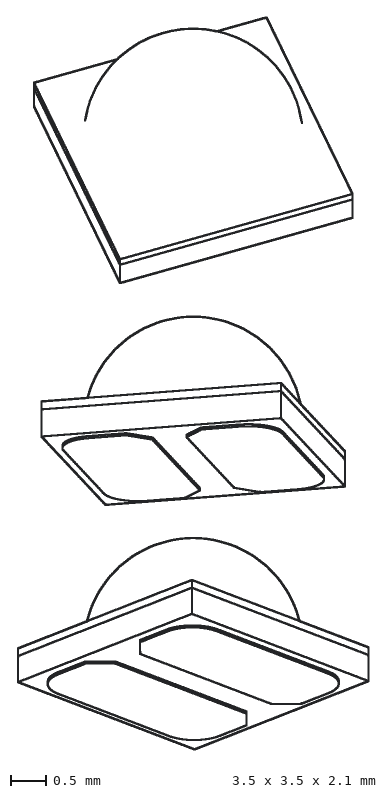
import cadquery as cq
import math

PACKAGE_SIDE = 3.5
PAD_THICKNESS = 0.03
SUBSTRATE_THICKNESS = 0.4
LENS_BASE_THICKNESS = 0.12
TOTAL_HEIGHT = 2.1

PAD_OUTER_EDGE = 1.6
PAD_INNER_EDGE = 0.25
PAD_CORNER_RADIUS = 0.5
PAD_INNER_CHAMFER = 0.3

LENS_FILLET_RADIUS = 0.1

substrate_bottom = PAD_THICKNESS
substrate_top = substrate_bottom + SUBSTRATE_THICKNESS
lens_base_top = substrate_top + LENS_BASE_THICKNESS
dome_radius = TOTAL_HEIGHT - lens_base_top


def make_plate(bottom, thickness):
    """Square layer covering the whole package footprint."""
    return (
        cq.Workplane("XY")
        .workplane(offset=bottom)
        .rect(PACKAGE_SIDE, PACKAGE_SIDE)
        .extrude(thickness)
    )


def make_pad(side):
    """Solder pad on the -X (side = -1) or +X (side = 1) half of the underside."""
    outer_face, inner_face = ("<X", ">X") if side < 0 else (">X", "<X")
    return (
        cq.Workplane("XY")
        .center(side * (PAD_OUTER_EDGE + PAD_INNER_EDGE) / 2, 0)
        .rect(PAD_OUTER_EDGE - PAD_INNER_EDGE, 2 * PAD_OUTER_EDGE)
        .extrude(PAD_THICKNESS)
        .faces(outer_face)
        .edges("|Z")
        .fillet(PAD_CORNER_RADIUS)
        .faces(inner_face)
        .edges("|Z")
        .chamfer(PAD_INNER_CHAMFER)
    )


def make_substrate():
    """Square substrate with its two solder pads underneath."""
    body = make_plate(substrate_bottom, SUBSTRATE_THICKNESS)
    for side in (-1, 1):
        body = body.union(make_pad(side))
    return body


def make_dome():
    """Hemisphere with a concave fillet running out onto the lens base."""
    centre_distance = dome_radius + LENS_FILLET_RADIUS
    foot_radius = math.sqrt(centre_distance**2 - LENS_FILLET_RADIUS**2)
    tangent_angle = math.asin(LENS_FILLET_RADIUS / centre_distance)

    def dome_point(angle):
        return (dome_radius * math.cos(angle), lens_base_top + dome_radius * math.sin(angle))

    fillet_mid_angle = (math.pi + tangent_angle + 3 * math.pi / 2) / 2
    fillet_mid = (
        foot_radius + LENS_FILLET_RADIUS * math.cos(fillet_mid_angle),
        lens_base_top + LENS_FILLET_RADIUS * (1 + math.sin(fillet_mid_angle)),
    )
    dome_mid_angle = (tangent_angle + math.pi / 2) / 2

    return (
        cq.Workplane("XZ")
        .moveTo(0, lens_base_top)
        .lineTo(foot_radius, lens_base_top)
        .threePointArc(fillet_mid, dome_point(tangent_angle))
        .threePointArc(dome_point(dome_mid_angle), (0, TOTAL_HEIGHT))
        .close()
        .revolve(360, (0, 0, 0), (0, 1, 0))
    )


def make_lens():
    """Thin square base moulded in one piece with the dome."""
    return make_plate(substrate_top, LENS_BASE_THICKNESS).union(make_dome())


substrate = make_substrate()
lens = make_lens()

result = cq.Compound.makeCompound([substrate.val(), lens.val()])